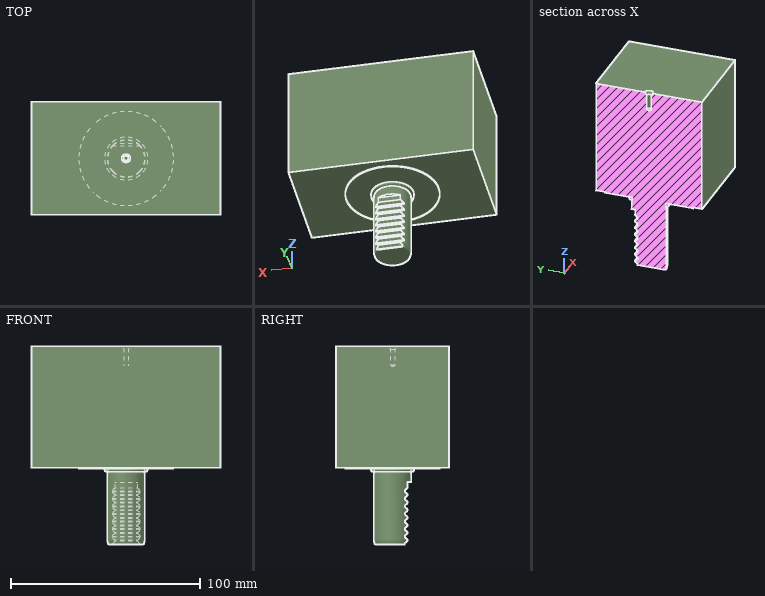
import cadquery as cq
import math

block_length = 100.0
block_width = 60.0
flange_diameter = 50.0
flange_thickness = 0.5
head_height = 65.0

shank_radius = 10.0
shank_length = 40.0
lead_in_angle = 15.0
tip_taper_length = 2.1
tip_round_radius = 0.8

seal_thickness = 1.5
neck_taper_end = 2.5
neck_radius = shank_radius - (neck_taper_end - seal_thickness) * math.tan(math.radians(lead_in_angle))

flat_offset = 8.0
flat_start = 7.0
tooth_pitch = 4.0
tooth_depth = 1.5
root_land = 0.5
first_root = 11.75
root_count = 8
tooth_half_angle = 45.0

hole_diameter = 2.5
hole_depth = 10.0
hole_tip_angle = 118.0
countersink_diameter = 4.5
countersink_angle = 60.0

seal_outer_radius = 11.4
seal_round_radius = 1.0


def make_head():
    block = (
        cq.Workplane("XY")
        .workplane(offset=flange_thickness)
        .rect(block_length, block_width)
        .extrude(head_height - flange_thickness)
    )
    flange = cq.Workplane("XY").circle(flange_diameter / 2).extrude(flange_thickness)
    return block.union(flange)


def make_shank():
    """Shank turned about Z, with the tapered neck and the tapered, rounded tip."""
    tip_radius = shank_radius - tip_taper_length * math.tan(math.radians(lead_in_angle))
    return (
        cq.Workplane("XZ")
        .moveTo(0, 0)
        .lineTo(neck_radius, 0)
        .lineTo(neck_radius, -seal_thickness)
        .lineTo(shank_radius, -neck_taper_end)
        .lineTo(shank_radius, -shank_length + tip_taper_length)
        .lineTo(tip_radius, -shank_length)
        .lineTo(0, -shank_length)
        .close()
        .revolve(360, (0, 0, 0), (0, 1, 0))
        .faces("<Z")
        .edges()
        .fillet(tip_round_radius)
    )


def cut_toothed_flat(shank):
    flat = (
        cq.Workplane("XY")
        .box(2 * shank_radius, shank_radius, shank_length, centered=(True, False, False))
        .translate((0, flat_offset, -flat_start - shank_length))
    )
    shank = shank.cut(flat)
    root_half_width = root_land / 2
    mouth_half_width = root_half_width + tooth_depth * math.tan(math.radians(tooth_half_angle))
    for i in range(root_count):
        root = -first_root - i * tooth_pitch
        groove = (
            cq.Workplane("YZ")
            .moveTo(flat_offset - tooth_depth, root - root_half_width)
            .lineTo(flat_offset - tooth_depth, root + root_half_width)
            .lineTo(flat_offset, root + mouth_half_width)
            .lineTo(flat_offset, root - mouth_half_width)
            .close()
            .extrude(shank_radius, both=True)
        )
        shank = shank.cut(groove)
    return shank


def make_centre_hole():
    """Blind drilled hole with a conical bottom and a countersunk mouth."""
    hole_radius = hole_diameter / 2
    sink_radius = countersink_diameter / 2
    sink_depth = (sink_radius - hole_radius) / math.tan(math.radians(countersink_angle / 2))
    tip_depth = hole_radius / math.tan(math.radians(hole_tip_angle / 2))
    return (
        cq.Workplane("XZ")
        .moveTo(0, head_height)
        .lineTo(sink_radius, head_height)
        .lineTo(hole_radius, head_height - sink_depth)
        .lineTo(hole_radius, head_height - hole_depth)
        .lineTo(0, head_height - hole_depth - tip_depth)
        .close()
        .revolve(360, (0, 0, 0), (0, 1, 0))
    )


def make_seal_ring():
    return (
        cq.Workplane("XY")
        .circle(seal_outer_radius)
        .circle(neck_radius)
        .extrude(-seal_thickness)
        .faces("<Z")
        .edges(cq.selectors.RadiusNthSelector(-1))
        .fillet(seal_round_radius)
    )


holder = make_head().union(cut_toothed_flat(make_shank())).cut(make_centre_hole())
seal_ring = make_seal_ring()

result = cq.Compound.makeCompound([holder.val(), seal_ring.val()])